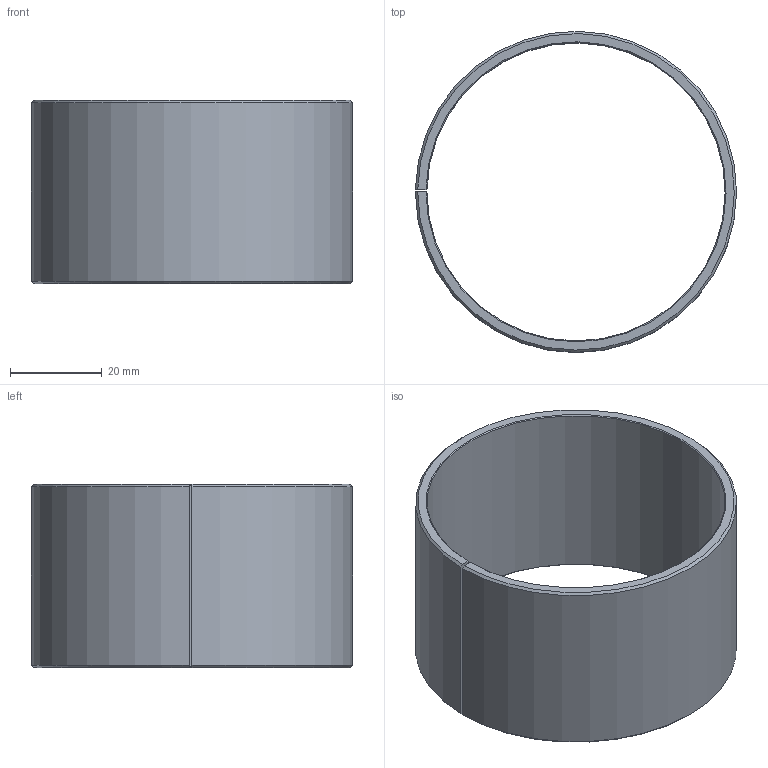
import cadquery as cq

outer_diameter = 70.0
inner_diameter = 65.0
length = 40.0

outer_chamfer = 0.5
inner_chamfer = 0.2

split_angle = 1.0
split_start_angle = 180.0

outer_radius = outer_diameter / 2
inner_radius = inner_diameter / 2
half_length = length / 2


def wall_section():
    """Cross-section of the wall in the XZ plane, with all four corners chamfered."""
    points = [
        (inner_radius, inner_chamfer - half_length),
        (inner_radius + inner_chamfer, -half_length),
        (outer_radius - outer_chamfer, -half_length),
        (outer_radius, outer_chamfer - half_length),
        (outer_radius, half_length - outer_chamfer),
        (outer_radius - outer_chamfer, half_length),
        (inner_radius + inner_chamfer, half_length),
        (inner_radius, half_length - inner_chamfer),
    ]
    return cq.Workplane("XZ").polyline(points).close()


def split_bushing():
    """Revolve the wall almost all the way round, leaving the split open on the -X side."""
    sweep_angle = 360 - split_angle
    sleeve = wall_section().revolve(sweep_angle, (0, 0, 0), (0, 1, 0))
    return sleeve.rotate((0, 0, 0), (0, 0, 1), split_start_angle)


result = split_bushing()